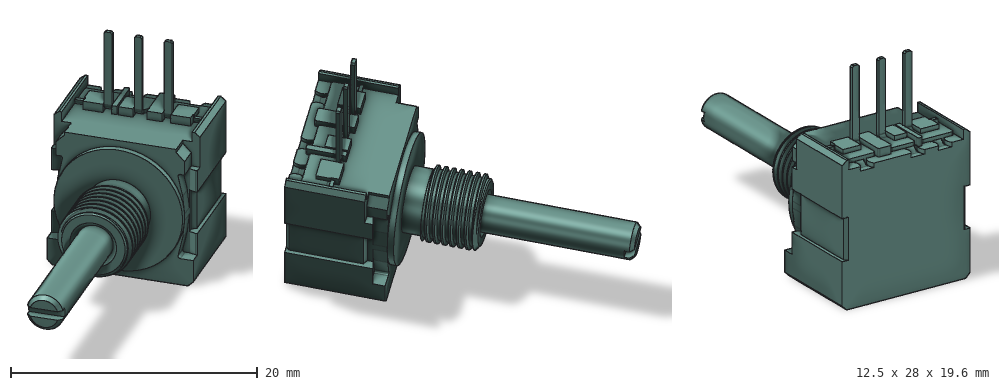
import cadquery as cq
import math


HOUSING_DEPTH = 8.38
WALL_X = 6.245
CORE_X = 5.5
CORE_TOP = 6.1
HOUSING_BOTTOM = -6.25
BOTTOM_CHAMFER = 0.45
EAR_TOP = 6.95
EAR_THICKNESS = 0.67
EAR_CHAMFER_X = 0.45
EAR_CHAMFER_Z = 0.35
EAR_FRONT = 1.7
SHOULDER_X = 4.78
SHOULDER_CHAMFER = 0.73
SHOULDER_DROP = 0.28
WAIST_X = 5.92
WAIST_Z = 1.9
WAIST_BACK_CHAMFER = 0.28
WAIST_BEVEL_BACK = 1.9
WAIST_BEVEL_FRONT = 1.65
POCKET_Z = 3.85
POCKET_DEPTH = 1.03
POCKET_SLOPE = 0.17
POCKET_EDGE_X = 6.1
POCKET_CORNER_RADIUS = 0.2
PLATE_END_X = 4.9
PLATE_MID_X = 5.35
PLATE_CENTER_Z = 0.3

FLANGE_RADIUS = 5.5
FLANGE_FRONT = -0.53
NECK_RADIUS = 2.77
THREAD_START = -2.15
BUSHING_END = -6.9
THREAD_ROOT_RADIUS = 2.85
THREAD_RADIUS = 3.15
THREAD_TURNS = 7.2
THREAD_PITCH = (THREAD_START - BUSHING_END) / THREAD_TURNS
THREAD_PHASE = 0.17
THREAD_ROOT_WIDTH = 0.47
THREAD_CREST_WIDTH = 0.17
THREAD_OVERLAP = 0.08
BUSHING_CHAMFER_LENGTH = 0.35
BUSHING_CHAMFER_WIDTH = 0.45
BUSHING_END_RADIUS = THREAD_RADIUS - BUSHING_CHAMFER_WIDTH
BORE_MOUTH_RADIUS = 1.98
SHAFT_RADIUS = 1.56
COUNTERSINK_DEPTH = 0.42
SHAFT_END = HOUSING_DEPTH - 27.95
SHAFT_CHAMFER = 0.34
SLOT_HEIGHT = 0.78
SLOT_DEPTH = 0.75

PIN_RISE = 6.37
PIN_TOP = EAR_TOP + PIN_RISE
STUB_TOP = 6.7
SHEET = 0.34
TERMINAL_FRONT = 4.55
TERMINAL_BACK = 7.25
BEND_RADIUS = 0.25
PIN_TIP_CHAMFER = 0.15
SIDE_PIN_WIDTH = 0.7
MIDDLE_PIN_WIDTH = 0.65
SIDE_PIN_X = 2.57
SIDE_PLATE_INNER = SIDE_PIN_X - SIDE_PIN_WIDTH / 2
SIDE_PLATE_OUTER = 5.42
MIDDLE_PLATE_LEFT = -1.68
MIDDLE_PLATE_RIGHT = 0.8
MIDDLE_PLATE_TAPER = 0.5
PLATE_CORNER_RADIUS = 0.22

BLOCK_TOP = 6.85
BLOCK_FRONT = 4.22
PAD_BACK = 6.15
RIB_BACK = 7.6
PAD_INNER = 2.9
PAD_OUTER = 4.7
PAD_NOTCH = 0.08
MIDDLE_PAD_LEFT = -1.56
MIDDLE_PAD_RIGHT = -0.34
THIN_RIB_LEFT = -2.15
THIN_RIB_RIGHT = -1.7
WIDE_RIB_LEFT = 0.87
WIDE_RIB_RIGHT = 2.18
RIB_CORNER_RADIUS = 0.17

CHANNEL_CENTERS = (-3.8, -1.15, 3.8)
CHANNEL_THROAT = 0.95
CHANNEL_MOUTH = 1.35
CHANNEL_DEPTH = 0.4
TAIL_WIDTH = 0.85
TAIL_BACK = 7.82


def box(x0, x1, y0, y1, z0, z1):
    return cq.Workplane("XY").box(x1 - x0, y1 - y0, z1 - z0, centered=False).translate((x0, y0, z0))


def extrude_along_y(points, y0, y1):
    """Extrude an X-Z outline from y0 back to y1."""
    return cq.Workplane("XZ", origin=(0, y0, 0)).polyline(points).close().extrude(y0 - y1)


def mirrored_outline(right_side):
    """Close a right-hand list of (x, z) points with its mirror image."""
    return right_side + [(-x, z) for x, z in reversed(right_side)]


def both_sides(solid):
    return solid.union(solid.mirror("YZ"))


def revolve_about_shaft(points):
    """Revolve (radius, y) points about the Y axis."""
    return cq.Workplane("XY").polyline(points).close().revolve(360, (0, 0, 0), (0, 1, 0))


def make_housing():
    body = extrude_along_y(
        mirrored_outline([
            (WALL_X - BOTTOM_CHAMFER, HOUSING_BOTTOM),
            (WALL_X, HOUSING_BOTTOM + BOTTOM_CHAMFER),
            (WALL_X, EAR_TOP - EAR_CHAMFER_Z),
            (WALL_X - EAR_CHAMFER_X, EAR_TOP),
            (WALL_X - EAR_THICKNESS, EAR_TOP),
            (WALL_X - EAR_THICKNESS, CORE_TOP),
        ]),
        0,
        HOUSING_DEPTH,
    )
    corner = extrude_along_y(
        [
            (SHOULDER_X, EAR_TOP),
            (SHOULDER_X, CORE_TOP - SHOULDER_DROP),
            (CORE_X, CORE_TOP - SHOULDER_DROP - SHOULDER_CHAMFER),
            (CORE_X, POCKET_Z),
            (WALL_X, POCKET_Z),
            (WALL_X, EAR_TOP),
        ],
        0,
        EAR_FRONT,
    )
    waist = (
        cq.Workplane("XY", origin=(0, 0, -WAIST_Z))
        .polyline([
            (WALL_X, 0),
            (CORE_X, 0),
            (CORE_X, WAIST_BEVEL_FRONT),
            (WAIST_X, WAIST_BEVEL_BACK),
            (WAIST_X, HOUSING_DEPTH - WAIST_BACK_CHAMFER),
            (WAIST_X - WAIST_BACK_CHAMFER, HOUSING_DEPTH),
            (WALL_X, HOUSING_DEPTH),
        ])
        .close()
        .extrude(2 * WAIST_Z)
    )
    return body.cut(both_sides(corner)).cut(both_sides(waist)).cut(both_sides(make_side_pocket()))


def make_side_pocket():
    """Front pocket whose inner wall follows the taper of the front plate."""
    floor = (
        cq.Workplane("XY", origin=(0, 0, -POCKET_Z))
        .polyline([
            (0, 0),
            (WALL_X, 0),
            (WALL_X, POCKET_DEPTH),
            (POCKET_EDGE_X, POCKET_DEPTH),
            (CORE_X, POCKET_DEPTH + POCKET_SLOPE),
            (0, POCKET_DEPTH + POCKET_SLOPE),
        ])
        .close()
        .extrude(2 * POCKET_Z)
    )
    outline = extrude_along_y(
        [
            (WALL_X, -POCKET_Z),
            (PLATE_END_X, -POCKET_Z),
            (PLATE_MID_X, -WAIST_Z),
            (CORE_X, -PLATE_CENTER_Z),
            (CORE_X, PLATE_CENTER_Z),
            (PLATE_MID_X, WAIST_Z),
            (PLATE_END_X, POCKET_Z),
            (WALL_X, POCKET_Z),
        ],
        0,
        EAR_FRONT,
    )
    outline = outline.edges("<X and |Y").fillet(POCKET_CORNER_RADIUS)
    return floor.intersect(outline)


def make_channels():
    """Waisted channels in the back of the housing top, narrowest halfway."""
    middle_y = (TERMINAL_BACK + HOUSING_DEPTH) / 2
    channels = cq.Workplane("XY")
    for x in CHANNEL_CENTERS:
        channels = channels.union(
            cq.Workplane("XY", origin=(x, 0, CORE_TOP - CHANNEL_DEPTH))
            .moveTo(-CHANNEL_MOUTH / 2, TERMINAL_BACK)
            .threePointArc((-CHANNEL_THROAT / 2, middle_y), (-CHANNEL_MOUTH / 2, HOUSING_DEPTH))
            .lineTo(CHANNEL_MOUTH / 2, HOUSING_DEPTH)
            .threePointArc((CHANNEL_THROAT / 2, middle_y), (CHANNEL_MOUTH / 2, TERMINAL_BACK))
            .close()
            .extrude(CHANNEL_DEPTH)
        )
    return channels


def make_tails():
    """Terminal tails that curve down from the plates and run out on the channel floors."""
    floor = CORE_TOP - CHANNEL_DEPTH
    tail_length = TAIL_BACK - TERMINAL_BACK
    runout_radius = (tail_length**2 + CHANNEL_DEPTH**2) / (2 * CHANNEL_DEPTH)
    tails = cq.Workplane("XY")
    for x in CHANNEL_CENTERS:
        tails = tails.union(
            cq.Workplane("YZ", origin=(x - TAIL_WIDTH / 2, 0, 0))
            .moveTo(TERMINAL_BACK, floor)
            .lineTo(TERMINAL_BACK, CORE_TOP)
            .radiusArc((TAIL_BACK, floor), -runout_radius)
            .close()
            .extrude(TAIL_WIDTH)
        )
    return tails


def make_upright(center_x, width, top):
    """Strip that runs forward on the housing top and bends upwards."""
    outer_radius = BEND_RADIUS + SHEET
    bend_y = TERMINAL_FRONT + outer_radius
    bend_z = CORE_TOP + outer_radius
    diagonal = math.sqrt(0.5)
    return (
        cq.Workplane("YZ", origin=(center_x - width / 2, 0, 0))
        .moveTo(TERMINAL_FRONT, top)
        .lineTo(TERMINAL_FRONT, bend_z)
        .threePointArc(
            (bend_y - outer_radius * diagonal, bend_z - outer_radius * diagonal),
            (bend_y, CORE_TOP),
        )
        .lineTo(TERMINAL_BACK - PLATE_CORNER_RADIUS, CORE_TOP)
        .lineTo(TERMINAL_BACK - PLATE_CORNER_RADIUS, CORE_TOP + SHEET)
        .lineTo(bend_y, CORE_TOP + SHEET)
        .threePointArc(
            (bend_y - BEND_RADIUS * diagonal, bend_z - BEND_RADIUS * diagonal),
            (TERMINAL_FRONT + SHEET, bend_z),
        )
        .lineTo(TERMINAL_FRONT + SHEET, top)
        .close()
        .extrude(width)
    )


def make_pin(center_x, width):
    return make_upright(center_x, width, PIN_TOP).faces(">Z").edges("|Y").chamfer(PIN_TIP_CHAMFER)


def make_terminals():
    plate_front = TERMINAL_FRONT + BEND_RADIUS + SHEET
    plate_top = CORE_TOP + SHEET
    side_plate = (
        box(SIDE_PLATE_INNER, SIDE_PLATE_OUTER, plate_front, TERMINAL_BACK, CORE_TOP, plate_top)
        .edges(">Y and |Z")
        .fillet(PLATE_CORNER_RADIUS)
    )
    stub_x = SIDE_PLATE_OUTER - SIDE_PIN_WIDTH / 2
    side = (
        side_plate
        .union(make_pin(SIDE_PIN_X, SIDE_PIN_WIDTH))
        .union(make_upright(stub_x, SIDE_PIN_WIDTH, STUB_TOP))
    )
    middle_plate = (
        box(MIDDLE_PLATE_LEFT, MIDDLE_PLATE_RIGHT, plate_front, TERMINAL_BACK, CORE_TOP, plate_top)
        .edges(">X and <Y and |Z")
        .chamfer(MIDDLE_PLATE_TAPER)
        .edges(">Y and |Z")
        .fillet(PLATE_CORNER_RADIUS)
    )
    return both_sides(side).union(middle_plate).union(make_pin(0, MIDDLE_PIN_WIDTH))


def make_rib(x0, x1):
    rib = box(x0, x1, BLOCK_FRONT, RIB_BACK, CORE_TOP, BLOCK_TOP)
    return rib.edges(">Y and |Z").fillet(RIB_CORNER_RADIUS)


def make_blocks():
    side_pad = box(PAD_INNER, PAD_OUTER, BLOCK_FRONT, PAD_BACK, CORE_TOP, BLOCK_TOP)
    notch = box(
        PAD_OUTER - PAD_NOTCH, PAD_OUTER,
        BLOCK_FRONT, TERMINAL_FRONT + SHEET,
        CORE_TOP, BLOCK_TOP,
    )
    middle_pad = box(
        MIDDLE_PAD_LEFT, MIDDLE_PAD_RIGHT, BLOCK_FRONT, PAD_BACK, CORE_TOP, BLOCK_TOP
    )
    return (
        both_sides(side_pad.cut(notch))
        .union(middle_pad)
        .union(make_rib(THIN_RIB_LEFT, THIN_RIB_RIGHT))
        .union(make_rib(WIDE_RIB_LEFT, WIDE_RIB_RIGHT))
    )


def make_thread():
    """Right-handed helical ridge, longer than the bushing by a pitch at each end."""
    length = (THREAD_TURNS + 2) * THREAD_PITCH
    base_radius = THREAD_ROOT_RADIUS - THREAD_OVERLAP
    helix = cq.Wire.makeHelix(THREAD_PITCH, length, base_radius)
    ridge = (
        cq.Workplane("XZ")
        .polyline([
            (base_radius, -THREAD_ROOT_WIDTH / 2),
            (THREAD_RADIUS, -THREAD_CREST_WIDTH / 2),
            (THREAD_RADIUS, THREAD_CREST_WIDTH / 2),
            (base_radius, THREAD_ROOT_WIDTH / 2),
        ])
        .close()
        .sweep(cq.Workplane(helix), isFrenet=True)
    )
    start = THREAD_START - THREAD_PHASE + THREAD_PITCH
    return ridge.rotate((0, 0, 0), (1, 0, 0), 90).translate((0, start, 0))


def make_bushing():
    threaded_core = revolve_about_shaft([
        (0, THREAD_START),
        (THREAD_ROOT_RADIUS, THREAD_START),
        (THREAD_ROOT_RADIUS, BUSHING_END),
        (0, BUSHING_END),
    ])
    thread_limit = revolve_about_shaft([
        (0, THREAD_START),
        (THREAD_RADIUS + THREAD_OVERLAP, THREAD_START),
        (THREAD_RADIUS + THREAD_OVERLAP, BUSHING_END),
        (0, BUSHING_END),
    ])
    end_chamfer = revolve_about_shaft([
        (BUSHING_END_RADIUS, BUSHING_END),
        (BUSHING_END_RADIUS + 2 * BUSHING_CHAMFER_WIDTH, BUSHING_END + 2 * BUSHING_CHAMFER_LENGTH),
        (BUSHING_END_RADIUS + 2 * BUSHING_CHAMFER_WIDTH, BUSHING_END),
    ])
    threaded_end = threaded_core.union(make_thread().intersect(thread_limit)).cut(end_chamfer)
    flange_and_neck = revolve_about_shaft([
        (0, 0),
        (FLANGE_RADIUS, 0),
        (FLANGE_RADIUS, FLANGE_FRONT),
        (NECK_RADIUS, FLANGE_FRONT),
        (NECK_RADIUS, THREAD_START),
        (0, THREAD_START),
    ])
    countersink = revolve_about_shaft([
        (0, BUSHING_END),
        (BORE_MOUTH_RADIUS, BUSHING_END),
        (SHAFT_RADIUS, BUSHING_END + COUNTERSINK_DEPTH),
        (0, BUSHING_END + COUNTERSINK_DEPTH),
    ])
    return flange_and_neck.union(threaded_end).cut(countersink)


def make_shaft():
    shaft = revolve_about_shaft([
        (0, FLANGE_FRONT),
        (SHAFT_RADIUS, FLANGE_FRONT),
        (SHAFT_RADIUS, SHAFT_END + SHAFT_CHAMFER),
        (SHAFT_RADIUS - SHAFT_CHAMFER, SHAFT_END),
        (0, SHAFT_END),
    ])
    slot = box(
        -SHAFT_RADIUS, SHAFT_RADIUS,
        SHAFT_END, SHAFT_END + SLOT_DEPTH,
        -SLOT_HEIGHT / 2, SLOT_HEIGHT / 2,
    )
    return shaft.cut(slot)


result = (
    make_housing()
    .cut(make_channels())
    .union(make_tails())
    .union(make_terminals())
    .union(make_blocks())
    .union(make_bushing())
    .union(make_shaft())
)